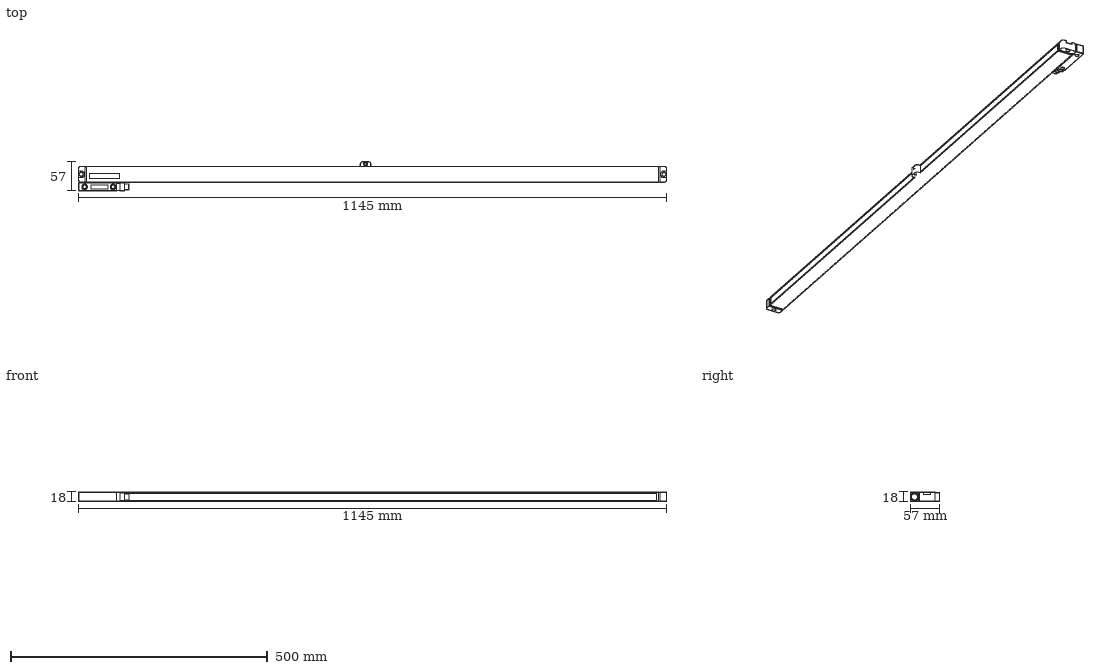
import cadquery as cq

total_length = 1145.0
height = 18.0
housing_width = 31.0
head_gap = 1.0
head_depth = 16.0
lug_depth = 9.0

cap_length = 16.0
cap_corner_radius = 4.5
cap_joint_width = 3.5
cap_joint_depth = 0.5
cap_hole_diameter = 7.5
cap_hole_inset = 5.2
cap_seat_width = 13.0
cap_seat_length = 12.0
cap_seat_depth = 4.0

side_recess_inset = 19.5
side_recess_depth = 0.5
side_recess_lip = 2.1

label_start = 21.5
label_length = 58.5
label_width = 10.0
label_depth = 0.4
label_center_y = 12.0

lug_length = 21.0
lug_center_x = 559.0
lug_corner_radius = 5.0
lug_top_drop = 1.0
lug_hole_diameter = 4.5
lug_seat_diameter = 7.5
lug_seat_depth = 6.0

head_length = 81.0
head_shoulder_length = 7.0
head_shoulder_drop = 0.6
head_edge_chamfer = 0.8
head_hole_inset = 12.0
head_far_hole_inset = 6.5
head_hole_diameter = 7.0
head_seat_diameter = 11.0
head_seat_depth = 6.0
head_panel_start = 24.0
head_panel_length = 34.0
head_panel_width = 8.0
head_panel_depth = 0.4

gland_nut_diameter = 15.5
gland_nut_length = 9.0
gland_tip_diameter = 12.0
gland_tip_length = 8.0

housing_center_y = housing_width / 2
head_center_y = -head_gap - head_depth / 2


def block(x, y, z, length, width, tall):
    """Box with its lowest corner at (x, y, z)."""
    return cq.Workplane("XY").box(length, width, tall, centered=False).translate((x, y, z))


def seated_hole(body, x, y, hole_diameter, seat_diameter, seat_depth):
    """Vertical through hole with a counterbored screw seat at the top."""
    hole = cq.Workplane("XY").center(x, y).circle(hole_diameter / 2).extrude(height)
    seat = (
        cq.Workplane("XY", origin=(x, y, height - seat_depth))
        .circle(seat_diameter / 2)
        .extrude(seat_depth)
    )
    return body.cut(hole).cut(seat)


def cap_joint(x):
    """Shallow ring cutter marking the joint between a cap and the extrusion."""
    ring = block(x, 0, 0, cap_joint_width, housing_width, height)
    core = block(
        x, cap_joint_depth, cap_joint_depth,
        cap_joint_width, housing_width - 2 * cap_joint_depth, height - 2 * cap_joint_depth,
    )
    return ring.cut(core)


def cap_seats():
    """Round-ended screw seat cutters, one open at each end of the housing top."""
    seats = cq.Workplane("XY", origin=(0, housing_center_y, height - cap_seat_depth))
    seats = seats.pushPoints([(0, 0), (total_length, 0)])
    return seats.slot2D(2 * cap_seat_length, cap_seat_width).extrude(cap_seat_depth)


def make_scale():
    scale = block(0, 0, 0, total_length, housing_width, height)
    scale = scale.edges("|Z").fillet(cap_corner_radius)

    for joint_x in (cap_length - cap_joint_width, total_length - cap_length):
        scale = scale.cut(cap_joint(joint_x))

    for recess_y in (0, housing_width - side_recess_depth):
        side_recess = block(
            side_recess_inset, recess_y, side_recess_lip,
            total_length - 2 * side_recess_inset, side_recess_depth, height - 2 * side_recess_lip,
        )
        scale = scale.cut(side_recess)

    lug = block(
        lug_center_x - lug_length / 2, housing_center_y, 0,
        lug_length, housing_width - housing_center_y + lug_depth, height - lug_top_drop,
    )
    scale = scale.union(lug.edges("|Z and >Y").fillet(lug_corner_radius))
    scale = seated_hole(
        scale, lug_center_x, housing_width + lug_depth / 2,
        lug_hole_diameter, lug_seat_diameter, lug_seat_depth,
    )

    for hole_x in (cap_hole_inset, total_length - cap_hole_inset):
        hole = cq.Workplane("XY").center(hole_x, housing_center_y).circle(cap_hole_diameter / 2)
        scale = scale.cut(hole.extrude(height))

    scale = scale.cut(cap_seats())

    label = block(
        label_start, label_center_y - label_width / 2, height - label_depth,
        label_length, label_width, label_depth,
    )
    return scale.cut(label)


def make_head():
    main_length = head_length - head_shoulder_length
    head = block(0, -head_gap - head_depth, 0, main_length, head_depth, height)
    head = head.faces("<X").edges().chamfer(head_edge_chamfer)

    shoulder = block(
        main_length, -head_gap - head_depth + head_shoulder_drop, head_shoulder_drop,
        head_shoulder_length, head_depth - 2 * head_shoulder_drop, height - 2 * head_shoulder_drop,
    )
    head = head.union(shoulder)

    for hole_x in (head_hole_inset, main_length - head_far_hole_inset):
        head = seated_hole(
            head, hole_x, head_center_y, head_hole_diameter, head_seat_diameter, head_seat_depth
        )

    panel = block(
        head_panel_start, head_center_y - head_panel_width / 2, height - head_panel_depth,
        head_panel_length, head_panel_width, head_panel_depth,
    )
    head = head.cut(panel)

    gland = (
        cq.Workplane("YZ", origin=(head_length, head_center_y, height / 2))
        .circle(gland_nut_diameter / 2)
        .extrude(gland_nut_length)
        .faces(">X")
        .workplane()
        .circle(gland_tip_diameter / 2)
        .extrude(gland_tip_length)
    )
    return head.union(gland)


scale_unit = make_scale()
reading_head = make_head()
result = cq.Compound.makeCompound([scale_unit.val(), reading_head.val()])